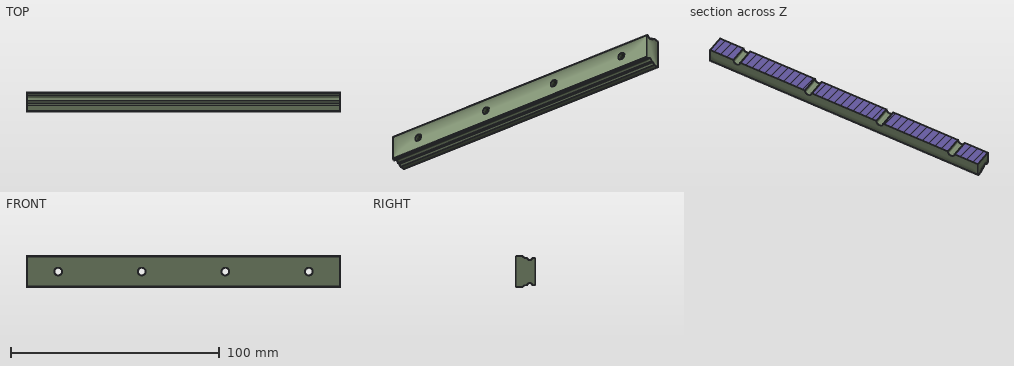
import cadquery as cq

length = 150.0
height = 9.5
base_half_width = 7.5
head_half_width = 6.6
edge_chamfer = 0.5

shoulder_start = 3.2
shoulder_end = 4.2

groove_center = 6.8
groove_half_opening = 1.4
groove_depth = 1.0

hole_diameter = 3.6
hole_count = 4
first_hole = 15.0
hole_pitch = (length - 2 * first_hole) / (hole_count - 1)


def rail_half():
    """Upper half of the rail, between its mid-plane and the +Z flank."""
    return (
        cq.Workplane("YZ")
        .lineTo(0, base_half_width - edge_chamfer)
        .lineTo(edge_chamfer, base_half_width)
        .lineTo(shoulder_start, base_half_width)
        .lineTo(shoulder_end, head_half_width)
        .lineTo(groove_center - groove_half_opening, head_half_width)
        .threePointArc(
            (groove_center, head_half_width - groove_depth),
            (groove_center + groove_half_opening, head_half_width),
        )
        .lineTo(height - edge_chamfer, head_half_width)
        .lineTo(height, head_half_width - edge_chamfer)
        .lineTo(height, 0)
        .close()
        .extrude(length)
    )


def mounting_holes():
    """Cylinders along Y on the mid-plane of the rail."""
    positions = [(first_hole + i * hole_pitch, 0) for i in range(hole_count)]
    return (
        cq.Workplane("XZ")
        .pushPoints(positions)
        .circle(hole_diameter / 2)
        .extrude(-height)
    )


rail = rail_half().mirror("XY", union=True).clean()
result = rail.cut(mounting_holes())